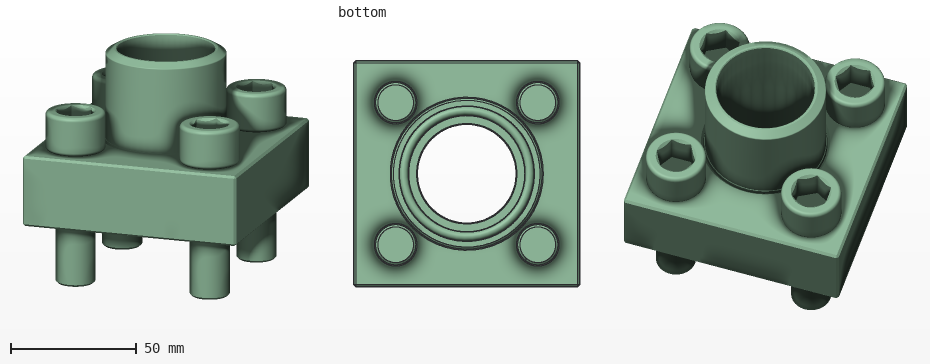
import cadquery as cq
import math


plate_side = 90.0
plate_thickness = 29.0
plate_chamfer = 0.9
neck_hole_diameter = 49.5
neck_hole_chamfer = 1.0
collar_recess_diameter = 61.0
collar_recess_depth = 12.0
screw_hole_diameter = 17.0

screw_count = 4
bolt_circle_diameter = 80.0
first_screw_angle = 45.0
head_diameter = 24.0
head_height = 16.0
head_fillet = 1.6
head_underside_fillet = 1.5
shank_diameter = 16.0
shank_length = 55.0
tip_chamfer = 0.9
socket_across_flats = 14.0
socket_depth = 12.0
socket_across_corners = socket_across_flats / math.cos(math.pi / 6)
socket_lead_in_angle = 45.0

neck_diameter = 48.3
neck_rise = 37.0
neck_top = plate_thickness + neck_rise
bevel_angle = 30.0
bevel_foot_fillet = 0.5
end_face_outer_diameter = 41.6
end_face_inner_diameter = 40.0
shoulder_diameter = 49.0
shoulder_rise = 0.3
bore_diameter = 39.3
bore_depth = 18.5
bore_exit_diameter = 40.0
collar_diameter = 60.0
collar_protrusion = 2.3
collar_bottom = -collar_protrusion
collar_chamfer = 0.8

groove_inner_diameter = 46.2
groove_outer_diameter = 53.97
seal_section_diameter = 3.53
seal_protrusion = 0.7
groove_depth = seal_section_diameter - seal_protrusion
seal_centre_radius = (groove_inner_diameter + groove_outer_diameter) / 4
seal_centre_z = collar_bottom - seal_protrusion + seal_section_diameter / 2


def revolve_about_z(profile):
    """Turn a closed (radius, Z) profile drawn on the XZ plane about the Z axis."""
    return profile.close().revolve(360, (0, 0, 0), (0, 1, 0))


def make_plate():
    plate = (
        cq.Workplane("XY")
        .box(plate_side, plate_side, plate_thickness, centered=(True, True, False))
        .edges()
        .chamfer(plate_chamfer)
    )
    neck_hole = (
        cq.Workplane("XY")
        .circle(neck_hole_diameter / 2)
        .extrude(plate_thickness)
    )
    hole_mouth = cq.Workplane(
        cq.Solid.makeCone(
            neck_hole_diameter / 2,
            neck_hole_diameter / 2 + neck_hole_chamfer,
            neck_hole_chamfer,
            cq.Vector(0, 0, plate_thickness - neck_hole_chamfer),
        )
    )
    collar_recess = (
        cq.Workplane("XY")
        .circle(collar_recess_diameter / 2)
        .extrude(collar_recess_depth)
    )
    screw_holes = (
        cq.Workplane("XY")
        .polarArray(bolt_circle_diameter / 2, first_screw_angle, 360, screw_count)
        .circle(screw_hole_diameter / 2)
        .extrude(plate_thickness)
    )
    return plate.cut(neck_hole).cut(hole_mouth).cut(collar_recess).cut(screw_holes)


def make_weld_neck():
    neck_radius = neck_diameter / 2
    shoulder_z = plate_thickness + shoulder_rise
    end_face_radius = end_face_outer_diameter / 2
    mouth_chamfer = (end_face_inner_diameter - bore_diameter) / 2
    bevel = math.radians(bevel_angle)
    bevel_foot_z = neck_top - (neck_radius - end_face_radius) * math.tan(bevel)
    fillet_setback = bevel_foot_fillet * math.tan((math.pi / 2 - bevel) / 2)
    fillet_end = (
        neck_radius - fillet_setback * math.cos(bevel),
        bevel_foot_z + fillet_setback * math.sin(bevel),
    )
    neck = revolve_about_z(
        cq.Workplane("XZ")
        .moveTo(bore_exit_diameter / 2, collar_bottom)
        .lineTo(collar_diameter / 2 - collar_chamfer, collar_bottom)
        .lineTo(collar_diameter / 2, collar_bottom + collar_chamfer)
        .lineTo(collar_diameter / 2, collar_recess_depth)
        .lineTo(shoulder_diameter / 2, collar_recess_depth)
        .lineTo(shoulder_diameter / 2, shoulder_z)
        .lineTo(neck_radius, shoulder_z)
        .lineTo(neck_radius, bevel_foot_z - fillet_setback)
        .tangentArcPoint(fillet_end, relative=False)
        .lineTo(end_face_radius, neck_top)
        .lineTo(end_face_inner_diameter / 2, neck_top)
        .lineTo(bore_diameter / 2, neck_top - mouth_chamfer)
        .lineTo(bore_diameter / 2, neck_top - bore_depth)
    )
    groove = (
        cq.Workplane("XY", origin=(0, 0, collar_bottom))
        .circle(groove_outer_diameter / 2)
        .circle(groove_inner_diameter / 2)
        .extrude(groove_depth)
    )
    return neck.cut(groove)


def make_seal():
    section = (
        cq.Workplane("XZ")
        .center(seal_centre_radius, seal_centre_z)
        .circle(seal_section_diameter / 2)
    )
    return section.revolve(360, (-seal_centre_radius, 0, 0), (-seal_centre_radius, 1, 0))


def make_screw():
    """One socket head screw on the Z axis, with its head seated on Z = 0."""
    head = (
        cq.Workplane("XY")
        .circle(head_diameter / 2)
        .extrude(head_height)
        .faces(">Z")
        .edges()
        .fillet(head_fillet)
        .faces("<Z")
        .edges()
        .fillet(head_underside_fillet)
    )
    shank = revolve_about_z(
        cq.Workplane("XZ")
        .moveTo(0, 0)
        .lineTo(shank_diameter / 2, 0)
        .lineTo(shank_diameter / 2, tip_chamfer - shank_length)
        .lineTo(shank_diameter / 2 - tip_chamfer, -shank_length)
        .lineTo(0, -shank_length)
    )
    socket = (
        cq.Workplane("XY", origin=(0, 0, head_height - socket_depth))
        .polygon(6, socket_across_corners)
        .extrude(socket_depth)
    )
    lead_in_radius = socket_across_corners / 2
    lead_in_depth = lead_in_radius * math.tan(math.radians(socket_lead_in_angle))
    lead_in = cq.Workplane(
        cq.Solid.makeCone(
            0,
            lead_in_radius,
            lead_in_depth,
            cq.Vector(0, 0, head_height - lead_in_depth),
        )
    )
    return head.union(shank).cut(socket).cut(lead_in)


plate = make_plate()
weld_neck = make_weld_neck()
seal = make_seal()

first_screw = (
    make_screw()
    .rotate((0, 0, 0), (0, 0, 1), -first_screw_angle)
    .translate((bolt_circle_diameter / 2, 0, plate_thickness))
)
screws = []
for index in range(screw_count):
    angle = first_screw_angle + index * 360 / screw_count
    screws.append(first_screw.rotate((0, 0, 0), (0, 0, 1), angle))

result = cq.Compound.makeCompound(
    [plate.val(), weld_neck.val(), seal.val(), *[screw.val() for screw in screws]]
)